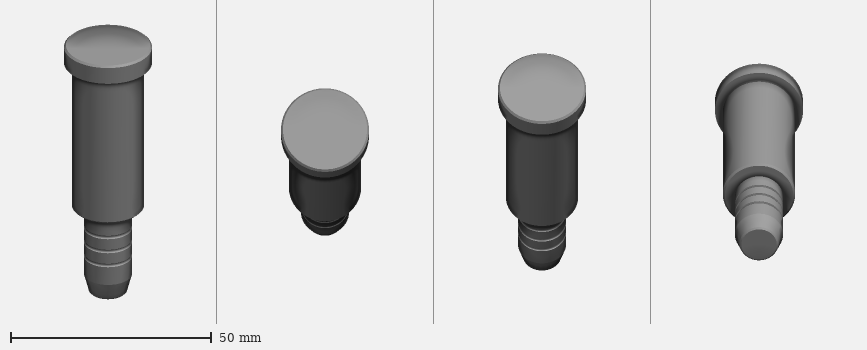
import cadquery as cq

total_length = 70.0
head_radius = 11.0
head_height = 5.0
head_chamfer = 0.5
body_radius = 9.0
body_bottom = 24.0
body_chamfer = 0.5

shank_radius = 6.0
neck_radius = 5.6

taper_height = 5.0
taper_end_radius = 4.8
tip_chamfer = 0.4

groove_width = 1.0
groove_radius = groove_width / 2
lowest_groove_bottom = 10.0
groove_pitch = 4.0
groove_count = 3

head_bottom = total_length - head_height
neck_bottom = body_bottom - groove_width


def add_groove(outline, radius, bottom):
    """Continue an upward outline through a semicircular groove."""
    middle = (radius - groove_radius, bottom + groove_radius)
    top = (radius, bottom + groove_width)
    return outline.lineTo(radius, bottom).threePointArc(middle, top)


profile = (
    cq.Workplane("XZ")
    .lineTo(taper_end_radius - tip_chamfer, 0)
    .lineTo(taper_end_radius, tip_chamfer)
    .lineTo(shank_radius, taper_height)
)

for index in range(groove_count):
    profile = add_groove(profile, shank_radius, lowest_groove_bottom + index * groove_pitch)

profile = (
    profile.lineTo(shank_radius, neck_bottom)
    .lineTo(neck_radius, neck_bottom)
    .lineTo(neck_radius, body_bottom)
)

profile = (
    profile.lineTo(body_radius - body_chamfer, body_bottom)
    .lineTo(body_radius, body_bottom + body_chamfer)
)
profile = add_groove(profile, body_radius, head_bottom - groove_width)

profile = (
    profile.lineTo(head_radius, head_bottom)
    .lineTo(head_radius, total_length - head_chamfer)
    .lineTo(head_radius - head_chamfer, total_length)
    .lineTo(0, total_length)
    .close()
)

result = profile.revolve(360, (0, 0, 0), (0, 1, 0))